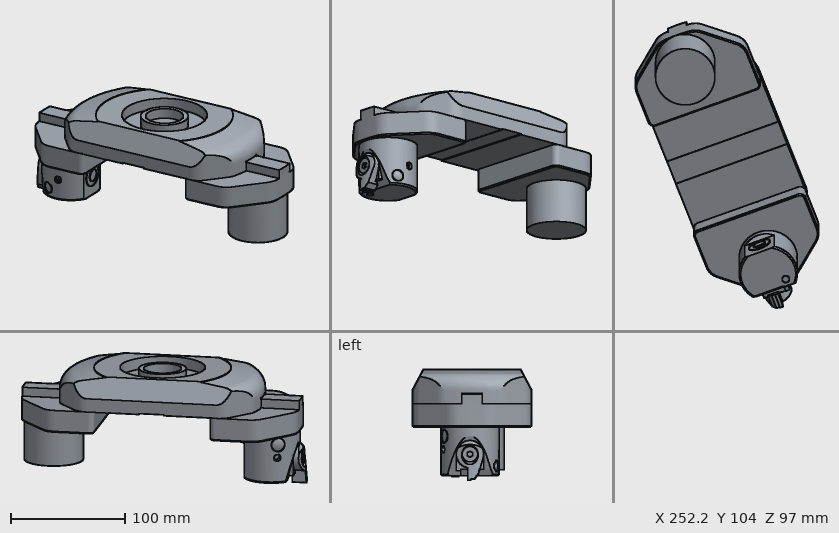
import cadquery as cq
import math


width = 104.0
flank_angle = 50.0
rail_width = 17.5
rail_height = 8.0

bridge_height = 30.0
bridge_end_radius = 90.0
bridge_side_fillet = 16.0
bridge_tip_fillet = 16.0
bridge_flank_start = 65.0
wall_height = 12.0
top_width = 85.0
crown_radius = 60.0
crown_step = 0.5
crown_fall_angle = 10.5
shoulder_radius = 15.0
recess_diameter = 74.5
recess_depth = 10.0
ring_outer_diameter = 41.5
ring_bore_diameter = 33.0
ring_drop = 1.0
groove_clearance = 1.0
relief_width = 22.0
relief_depth = 0.8

slide_end_radius = 123.5
slide_inner_end = 51.5
slide_side_fillet = 16.0
slide_tip_fillet = 17.5
slide_flank_start = 93.5
slide_inner_fillet = 5.0
slide_chamfer = 1.2
left_slide_thickness = 20.5
right_slide_thickness = 20.0

counterweight_diameter = 52.0
counterweight_x = 97.3
counterweight_y = -2.2
counterweight_top = -3.0
counterweight_bottom = -58.0

head_diameter = 51.0
head_x = -97.1
head_y = 1.8
head_bottom = -63.2
head_chamfer = 1.5
back_flat_offset = 21.5
back_flat_top = -28.5
back_flat_full = -31.5
front_slope_top = -28.4
front_slope_angle = 15.0
front_relief_top = -57.5
front_relief_angle = 25.0
front_relief_edge = 10.0
seat_x = -118.8
seat_bottom = -58.7
back_cap_tiers = ((20.0, 0.8), (11.0, 1.6))
bottom_nub_diameter = 6.25
bottom_nub_height = 0.8
bottom_nub_x = -106.8
bottom_nub_y = 14.5

insert_diameter = 24.0
insert_z = -44.2
insert_face_radius = 25.4
insert_face_angle = 5.0
insert_bevel_top_x = -122.5
insert_bevel_drop = 3.0
tip_x = -128.7
tip_z = -67.0
insert_heel_x = -116.0
heel_top_z = -58.7
heel_bottom_z = -61.3
blade_outline = [
    (3.8, insert_z), (3.8, tip_z), (0.9, tip_z), (0.9, -66.0), (-2.2, -66.0),
    (-5.6, -61.5), (-9.6, -48.0), (-9.6, insert_z),
]
screw_head_diameter = 13.6
screw_head_x = -125.3
screw_head_thickness = 3.0
screw_shank_diameter = 6.0
screw_length = 20.0
hex_across_flats = 4.7
hex_depth = 2.0

plug_depth = 8.0
plug_dome_height = 1.3
lower_plug = {"diameter": 10.02, "angle": -68.0, "z": -54.6}
upper_plug = {"diameter": 12.02, "angle": 65.0, "z": -28.5}
side_hole_diameter = 6.0
side_hole_depth = 6.0
side_hole_angle = 67.0
side_hole_z = -40.0
coolant_hole_diameter = 6.25
coolant_hole_depth = 3.0
coolant_bore_diameter = 2.8
coolant_bore_depth = 10.0
coolant_hole_angle = -95.0
coolant_hole_z = -44.0

half_width = width / 2
cut_margin = 1.0


def box_between(x0, x1, y0, y1, z0, z1):
    return cq.Workplane("XY").box(x1 - x0, y1 - y0, z1 - z0, centered=False).translate((x0, y0, z0))


def flanked_prism(end_radius, flank_start, side_fillet, tip_fillet, z0, z1):
    """Long prism with slanted flanks and ends rounded by one large arc, blended by fillets."""
    reach = half_width / math.tan(math.radians(flank_angle))
    tip = flank_start + reach
    outline = [
        (-tip, 0), (-flank_start, half_width), (flank_start, half_width),
        (tip, 0), (flank_start, -half_width), (-flank_start, -half_width),
    ]
    prism = cq.Workplane("XY").workplane(offset=z0).polyline(outline).close().extrude(z1 - z0)
    prism = prism.intersect(cq.Workplane("XY").workplane(offset=z0).circle(end_radius).extrude(z1 - z0))
    prism = prism.edges("|Z and (>Y or <Y)").fillet(side_fillet)

    slope = math.radians(flank_angle)
    foot = tip * math.sin(slope)
    along = math.sqrt(end_radius ** 2 - foot ** 2)
    corner_x = foot * math.sin(slope) + along * math.cos(slope)
    corner_y = abs(foot * math.cos(slope) - along * math.sin(slope))
    for x in (-corner_x, corner_x):
        for y in (-corner_y, corner_y):
            corner = cq.selectors.NearestToPointSelector((x, y, (z0 + z1) / 2))
            prism = prism.edges(corner).fillet(tip_fillet)
    return prism


def make_bridge():
    body = flanked_prism(bridge_end_radius, bridge_flank_start, bridge_side_fillet, bridge_tip_fillet,
                         0, bridge_height)

    fall = math.radians(crown_fall_angle)
    cone_top = bridge_height - crown_step
    arc_x = bridge_end_radius - shoulder_radius
    cone_end_x = arc_x + shoulder_radius * math.sin(fall)
    cone_end_z = cone_top - (cone_end_x - crown_radius) * math.tan(fall)
    arc_z = cone_end_z - shoulder_radius * math.cos(fall)
    middle = (fall + math.pi / 2) / 2
    arc_middle = (arc_x + shoulder_radius * math.sin(middle), arc_z + shoulder_radius * math.cos(middle))
    turned = (
        cq.Workplane("XZ")
        .moveTo(0, 0)
        .lineTo(0, bridge_height)
        .lineTo(crown_radius, bridge_height)
        .lineTo(crown_radius, cone_top)
        .lineTo(cone_end_x, cone_end_z)
        .threePointArc(arc_middle, (bridge_end_radius, arc_z))
        .lineTo(bridge_end_radius, 0)
        .close()
        .revolve(360, (0, 0, 0), (0, 1, 0))
    )
    body = body.intersect(turned)

    section = [
        (-half_width, 0), (half_width, 0), (half_width, wall_height), (top_width / 2, bridge_height),
        (-top_width / 2, bridge_height), (-half_width, wall_height),
    ]
    sides = cq.Workplane("YZ").polyline(section).close().extrude(bridge_end_radius, both=True)
    body = body.intersect(sides)

    floor = bridge_height - recess_depth
    recess = cq.Workplane("XY").workplane(offset=floor).circle(recess_diameter / 2).extrude(recess_depth)
    ring = (
        cq.Workplane("XY").workplane(offset=floor)
        .circle(ring_outer_diameter / 2).circle(ring_bore_diameter / 2)
        .extrude(recess_depth - ring_drop)
    )
    body = body.cut(recess.cut(ring))

    groove_half = rail_width / 2
    for side in (-1, 1):
        near, far = sorted((side * slide_inner_end, side * bridge_end_radius))
        groove = box_between(near, far, -groove_half, groove_half, 0, rail_height + groove_clearance)
        body = body.cut(groove)
    relief = box_between(-relief_width / 2, relief_width / 2, -half_width, half_width, 0, relief_depth)
    return body.cut(relief)


def make_slide(side, thickness):
    """Slide block with its rail; side is -1 for the left one and +1 for the right one."""
    near, far = sorted((side * slide_inner_end, side * (slide_end_radius + cut_margin)))
    keep = box_between(near, far, -half_width, half_width, -thickness, rail_height)
    block = flanked_prism(slide_end_radius, slide_flank_start, slide_side_fillet, slide_tip_fillet,
                          -thickness, 0)
    block = block.intersect(keep)
    inner_face = "<X" if side > 0 else ">X"
    block = block.faces(inner_face).edges("|Z").fillet(slide_inner_fillet)
    block = block.faces("<Z").chamfer(slide_chamfer)
    rail = cq.Workplane("XY").circle(slide_end_radius).extrude(rail_height).intersect(keep)
    rail = rail.intersect(box_between(near, far, -rail_width / 2, rail_width / 2, 0, rail_height))
    return block.union(rail)


def make_right_slide():
    post = (
        cq.Workplane("XY").workplane(offset=counterweight_bottom).center(counterweight_x, counterweight_y)
        .circle(counterweight_diameter / 2).extrude(counterweight_top - counterweight_bottom)
    )
    return make_slide(1, right_slide_thickness).union(post)


def radial_cylinder(diameter, angle, z, depth):
    """Cylinder entering the head toward its axis; it stands out past the head by its radius."""
    radius = head_diameter / 2
    cylinder = (
        cq.Workplane("YZ").circle(diameter / 2).extrude(depth + radius)
        .translate((-2 * radius, 0, 0))
        .rotate((0, 0, 0), (0, 0, 1), -angle)
    )
    return cylinder.translate((head_x, head_y, z))


def slope_cutter(top_z, angle, top_x, y0, y1):
    """Wedge in front of a plane that starts at (top_x, top_z) and leans toward +X going down."""
    drop = top_z - head_bottom + cut_margin
    front_x = head_x - head_diameter
    lean = drop * math.tan(math.radians(angle))
    profile = [
        (front_x, top_z), (top_x, top_z), (top_x + lean, top_z - drop), (front_x, top_z - drop),
    ]
    return cq.Workplane("XZ", origin=(0, y0, 0)).polyline(profile).close().extrude(-(y1 - y0))


def make_head():
    radius = head_diameter / 2
    y0 = head_y - radius
    y1 = head_y + radius
    head = (
        cq.Workplane("XY").workplane(offset=head_bottom).center(head_x, head_y)
        .circle(radius).extrude(-left_slide_thickness - head_bottom)
        .faces("<Z").chamfer(head_chamfer)
    )

    flat_x = head_x + back_flat_offset
    back_x = head_x + radius
    flat = [
        (flat_x, head_bottom), (flat_x, back_flat_full), (back_x, back_flat_top), (back_x, head_bottom),
    ]
    head = head.cut(cq.Workplane("XZ", origin=(0, y0, 0)).polyline(flat).close().extrude(-head_diameter))
    for diameter, height in back_cap_tiers:
        cap = cq.Workplane("YZ", origin=(flat_x, head_y, insert_z)).circle(diameter / 2).extrude(height)
        head = head.union(cap)

    slope_x = head_x - radius
    head = head.cut(slope_cutter(front_slope_top, front_slope_angle, slope_x, y0, y1))

    seat_half = insert_diameter / 2
    seat = box_between(seat_x, head_x, head_y - seat_half, head_y + seat_half, seat_bottom, insert_z)
    pocket_depth = seat_x - slope_x
    pocket = cq.Workplane("YZ", origin=(slope_x, head_y, insert_z)).circle(seat_half).extrude(pocket_depth)
    pocket = pocket.union(
        box_between(slope_x, seat_x, head_y - seat_half, head_y + seat_half, head_bottom, insert_z)
    )
    head = head.union(seat)

    relief_x = slope_x + (front_slope_top - front_relief_top) * math.tan(math.radians(front_slope_angle))
    head = head.cut(slope_cutter(front_relief_top, front_relief_angle, relief_x, y0, front_relief_edge))
    head = head.cut(pocket)

    nub = (
        cq.Workplane("XY", origin=(bottom_nub_x, bottom_nub_y, head_bottom - bottom_nub_height))
        .circle(bottom_nub_diameter / 2).extrude(2 * bottom_nub_height)
    )
    head = head.union(nub)

    head = head.cut(radial_cylinder(side_hole_diameter, side_hole_angle, side_hole_z, side_hole_depth))
    for diameter, depth in (
        (coolant_hole_diameter, coolant_hole_depth), (coolant_bore_diameter, coolant_bore_depth),
    ):
        head = head.cut(radial_cylinder(diameter, coolant_hole_angle, coolant_hole_z, depth))
    return head


def make_plug(diameter, angle, z):
    """Sealing plug with a shallow domed end, its peak level with the round surface of the head."""
    radius = diameter / 2
    face = plug_dome_height - head_diameter / 2
    dome_radius = (radius ** 2 + plug_dome_height ** 2) / (2 * plug_dome_height)
    half_sine = radius / 2 / dome_radius
    middle_x = face - plug_dome_height + dome_radius * (1 - math.sqrt(1 - half_sine ** 2))
    plug = (
        cq.Workplane("XY")
        .moveTo(face - plug_dome_height, 0)
        .threePointArc((middle_x, radius / 2), (face, radius))
        .lineTo(face + plug_depth, radius)
        .lineTo(face + plug_depth, 0)
        .close()
        .revolve(360, (0, 0, 0), (1, 0, 0))
    )
    return plug.rotate((0, 0, 0), (0, 0, 1), -angle).translate((head_x, head_y, z))


def make_screw_envelope():
    """Screw without its hexagon socket; also the space it fills in the insert and the head."""
    plane = cq.Workplane("YZ", origin=(screw_head_x, head_y, insert_z))
    head = plane.circle(screw_head_diameter / 2).extrude(screw_head_thickness)
    return head.union(plane.circle(screw_shank_diameter / 2).extrude(screw_length))


def make_screw():
    hexagon = (
        cq.Workplane("YZ", origin=(screw_head_x, head_y, insert_z))
        .transformed(rotate=(0, 0, 30))
        .polygon(6, hex_across_flats / math.cos(math.pi / 6)).extrude(hex_depth)
    )
    return make_screw_envelope().cut(hexagon)


def cone_along_x(x0, radius0, x1, radius1, z):
    """Cone about a line parallel to X at the insert's Y."""
    profile = [(x0, 0), (x0, radius0), (x1, radius1), (x1, 0)]
    cone = cq.Workplane("XY").polyline(profile).close().revolve(360, (0, 0, 0), (1, 0, 0))
    return cone.translate((0, head_y, z))


def make_insert():
    radius = insert_diameter / 2
    depth = seat_x - tip_x
    disc = cq.Workplane("YZ", origin=(tip_x, head_y, insert_z)).circle(radius).extrude(depth)
    blade_depth = insert_heel_x - tip_x
    blade = cq.Workplane("YZ", origin=(tip_x, 0, 0)).polyline(blade_outline).close().extrude(blade_depth)
    heel_relief = [
        (seat_x, insert_z), (seat_x, heel_top_z), (insert_heel_x, heel_bottom_z), (insert_heel_x, insert_z),
    ]
    blade = blade.cut(cq.Workplane("XZ").polyline(heel_relief).close().extrude(insert_diameter, both=True))
    body = disc.union(blade)

    face = (
        cq.Workplane("XY").circle(insert_face_radius).extrude(2 * insert_diameter)
        .translate((insert_face_radius, 0, 0))
        .rotate((0, 0, 0), (0, 1, 0), insert_face_angle)
        .translate((tip_x, head_y, tip_z))
    )
    body = body.intersect(face)

    bevel_radius = radius + insert_bevel_drop
    bevel_run = insert_bevel_top_x - tip_x
    bevel = cone_along_x(tip_x, bevel_radius - bevel_run, insert_bevel_top_x, bevel_radius,
                         insert_z - insert_bevel_drop)
    upper = box_between(tip_x, insert_bevel_top_x, head_y - radius, head_y + radius,
                        insert_z, insert_z + radius)
    body = body.cut(upper.cut(bevel))
    screw_radius = screw_head_diameter / 2
    opening = screw_radius + screw_head_x - tip_x
    return body.cut(cone_along_x(tip_x, opening, screw_head_x, screw_radius, insert_z))


screw = make_screw()
screw_envelope = make_screw_envelope()
plugs = [make_plug(**plug) for plug in (lower_plug, upper_plug)]

bridge = make_bridge()
right_slide = make_right_slide()
insert = make_insert().cut(screw_envelope)
left_slide = make_slide(-1, left_slide_thickness).union(make_head()).cut(screw_envelope)
for plug in (lower_plug, upper_plug):
    left_slide = left_slide.cut(
        radial_cylinder(plug["diameter"], plug["angle"], plug["z"], plug_dome_height + plug_depth)
    )

result = cq.Compound.makeCompound([
    bridge.val(), left_slide.val(), right_slide.val(), insert.val(), screw.val(), *[p.val() for p in plugs],
])